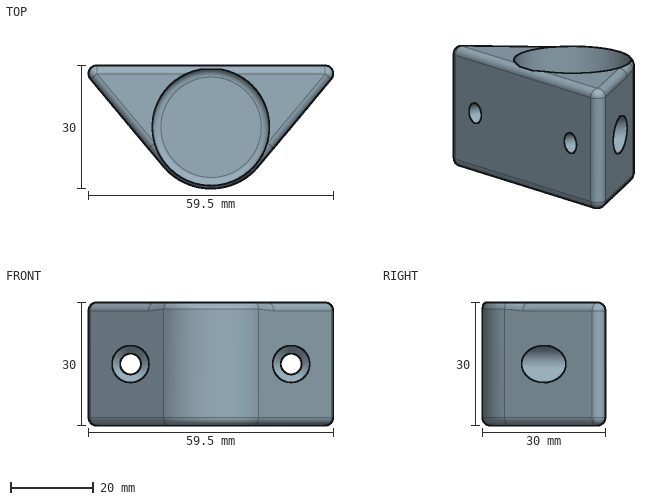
import cadquery as cq
import math

length = 59.45
height = 30.0
barrel_radius = height / 2
bore_radius = 14.2
edge_radius = 2.0
floor_thickness = 2.0
back_wall = 1.0
pocket_depth = 2 * edge_radius
rim_clearance = 0.3
screw_spacing = 39.0
screw_diameter = 5.0
head_diameter = 9.0
head_seat_y = 9.05
back_y = barrel_radius

side_angle = 2 * math.atan((barrel_radius - edge_radius) / (length / 2 - edge_radius))

tangent_x = barrel_radius * math.sin(side_angle)
tangent_y = -barrel_radius * math.cos(side_angle)
corner_x = (barrel_radius + back_y * math.cos(side_angle)) / math.sin(side_angle)


def make_body():
    """Triangular block with a round nose and rounded lower and vertical edges."""
    block = (
        cq.Workplane("XY")
        .moveTo(-corner_x, back_y)
        .lineTo(-tangent_x, tangent_y)
        .threePointArc((0, -barrel_radius), (tangent_x, tangent_y))
        .lineTo(corner_x, back_y)
        .close()
        .extrude(height)
    )
    block = block.edges("|Z and >Y").fillet(edge_radius)
    return block.faces("<Z").edges().fillet(edge_radius)


def trimmed_cylinder(bottom_z, flat_y, floor_radius=0):
    """Bore cutter rising from bottom_z, with an optional floor round and a flat side at flat_y."""
    cutter = cq.Workplane("XY").workplane(offset=bottom_z).circle(bore_radius).extrude(height)
    if floor_radius > 0:
        cutter = cutter.faces("<Z").edges().fillet(floor_radius)
    trim = cq.Workplane("XY").box(length, length, 4 * height).translate((0, flat_y - length / 2, 0))
    return cutter.intersect(trim)


def make_screw_hole(x):
    """Screw hole through the back face, with a conical seat and head clearance to the front."""
    head_radius = head_diameter / 2
    screw_radius = screw_diameter / 2
    cone_depth = head_radius - screw_radius
    profile = [
        (0, -height),
        (head_radius, -height),
        (head_radius, head_seat_y),
        (screw_radius, head_seat_y + cone_depth),
        (screw_radius, height),
        (0, height),
    ]
    hole = cq.Workplane("XY").polyline(profile).close().revolve(360, (0, 0), (0, 1))
    return hole.translate((x, 0, height / 2))


def round_top(part):
    """Round the outer top edge, leaving the bore rim sharp."""
    return part.faces(">Z").wires(cq.selectors.LengthNthSelector(-1)).edges().fillet(edge_radius)


rim_pocket = trimmed_cylinder(height - pocket_depth, back_y - edge_radius - rim_clearance)
bore = trimmed_cylinder(floor_thickness, back_y - back_wall, edge_radius)
result = round_top(make_body().cut(rim_pocket)).cut(bore)
for side in (-1, 1):
    result = result.cut(make_screw_hole(side * screw_spacing / 2))